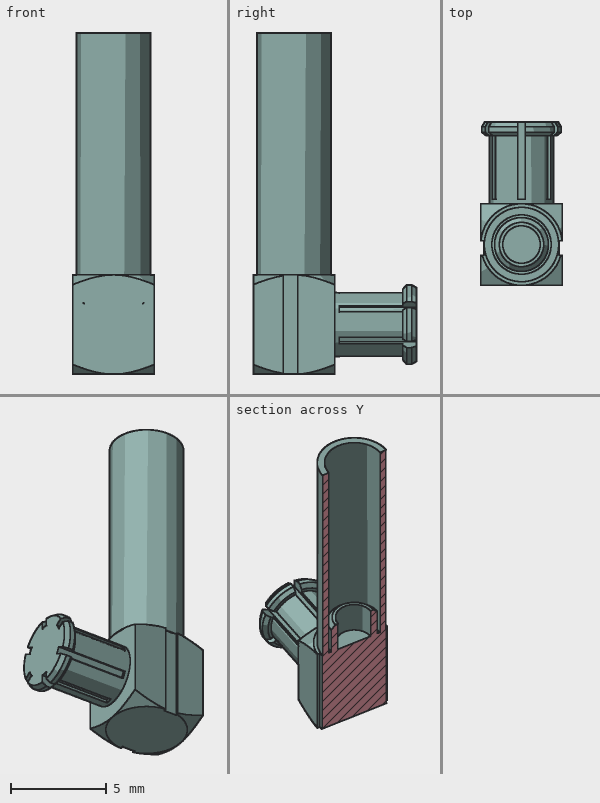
import cadquery as cq
import math

BODY_WIDTH = 4.27
BODY_HEIGHT = 5.2
CORNER_ANGLE = 30.0
GROOVE_WIDTH = 0.75
GROOVE_DEPTH = 0.16
GROOVE_Y = -0.18

TOTAL_HEIGHT = 17.88
TUBE_RADIUS = 1.95
TUBE_BORE_RADIUS = 1.55

POST_RADIUS = 1.41
POST_TIP_RADIUS = 1.16
POST_HOLE_RADIUS = 0.98
POST_HEIGHT = 1.79
POST_TAPER = 0.25

TOTAL_DEPTH = 8.56
PLUG_LENGTH = TOTAL_DEPTH - BODY_WIDTH
PLUG_RADIUS = 1.68
CORE_RADIUS = 1.5
COLLAR_RADIUS = 2.1
COLLAR_FRONT_RADIUS = 1.93
COLLAR_BACK_RADIUS = 1.86
COLLAR_LENGTH = 0.73
COLLAR_FRONT_TAPER = 0.27
COLLAR_BACK_TAPER = 0.2
SLOT_WIDTH = 0.38
SLOT_COUNT = 6
SLOT_START = 0.23

CENTRE_HEIGHT = BODY_HEIGHT / 2
HALF_WIDTH = BODY_WIDTH / 2


def make_body():
    """Square block with conically turned corners and a groove down each X side."""
    block = cq.Workplane("XY").box(BODY_WIDTH, BODY_WIDTH, BODY_HEIGHT, centered=(True, True, False))
    corner_radius = HALF_WIDTH * math.sqrt(2)
    corner_drop = (corner_radius - HALF_WIDTH) * math.tan(math.radians(CORNER_ANGLE))
    turned_envelope = (
        cq.Workplane("XZ")
        .moveTo(0, 0)
        .lineTo(HALF_WIDTH, 0)
        .lineTo(corner_radius, corner_drop)
        .lineTo(corner_radius, BODY_HEIGHT - corner_drop)
        .lineTo(HALF_WIDTH, BODY_HEIGHT)
        .lineTo(0, BODY_HEIGHT)
        .close()
        .revolve(360, (0, 0, 0), (0, 1, 0))
    )
    grooves = (
        cq.Workplane("XY")
        .pushPoints([(-HALF_WIDTH, GROOVE_Y), (HALF_WIDTH, GROOVE_Y)])
        .rect(2 * GROOVE_DEPTH, GROOVE_WIDTH)
        .extrude(BODY_HEIGHT)
    )
    return block.intersect(turned_envelope).cut(grooves)


def make_tube():
    """Open tube standing on the body."""
    tube_length = TOTAL_HEIGHT - BODY_HEIGHT
    return (
        cq.Workplane("XY", origin=(0, 0, BODY_HEIGHT))
        .circle(TUBE_RADIUS)
        .circle(TUBE_BORE_RADIUS)
        .extrude(tube_length)
    )


def make_post():
    """Hollow post with a conical tip, separated from the tube by a narrow gap."""
    post_top = BODY_HEIGHT + POST_HEIGHT
    return (
        cq.Workplane("XZ")
        .moveTo(POST_HOLE_RADIUS, BODY_HEIGHT)
        .lineTo(POST_RADIUS, BODY_HEIGHT)
        .lineTo(POST_RADIUS, post_top - POST_TAPER)
        .lineTo(POST_TIP_RADIUS, post_top)
        .lineTo(POST_HOLE_RADIUS, post_top)
        .close()
        .revolve(360, (0, 0, 0), (0, 1, 0))
    )


def make_plug():
    """Solid core inside a collared sleeve that is split lengthwise into spring fingers."""
    plug_end = HALF_WIDTH + PLUG_LENGTH
    collar_start = plug_end - COLLAR_LENGTH
    slot_start = HALF_WIDTH + SLOT_START
    sleeve = (
        cq.Workplane("XY")
        .moveTo(0, HALF_WIDTH)
        .lineTo(PLUG_RADIUS, HALF_WIDTH)
        .lineTo(PLUG_RADIUS, collar_start)
        .lineTo(COLLAR_BACK_RADIUS, collar_start)
        .lineTo(COLLAR_RADIUS, collar_start + COLLAR_BACK_TAPER)
        .lineTo(COLLAR_RADIUS, plug_end - COLLAR_FRONT_TAPER)
        .lineTo(COLLAR_FRONT_RADIUS, plug_end)
        .lineTo(0, plug_end)
        .close()
        .revolve(360, (0, 0, 0), (0, 1, 0))
    )
    slot = (
        cq.Workplane("XZ", origin=(0, slot_start, 0))
        .center(0, COLLAR_RADIUS / 2)
        .rect(SLOT_WIDTH, COLLAR_RADIUS)
        .extrude(slot_start - plug_end)
    )
    core = cq.Workplane("XZ", origin=(0, HALF_WIDTH, 0)).circle(CORE_RADIUS).extrude(-PLUG_LENGTH)
    for index in range(SLOT_COUNT):
        sleeve = sleeve.cut(slot.rotate((0, 0, 0), (0, 1, 0), index * 360 / SLOT_COUNT))
    return sleeve.union(core).translate((0, 0, CENTRE_HEIGHT))


result = make_body().union(make_tube()).union(make_post()).union(make_plug())